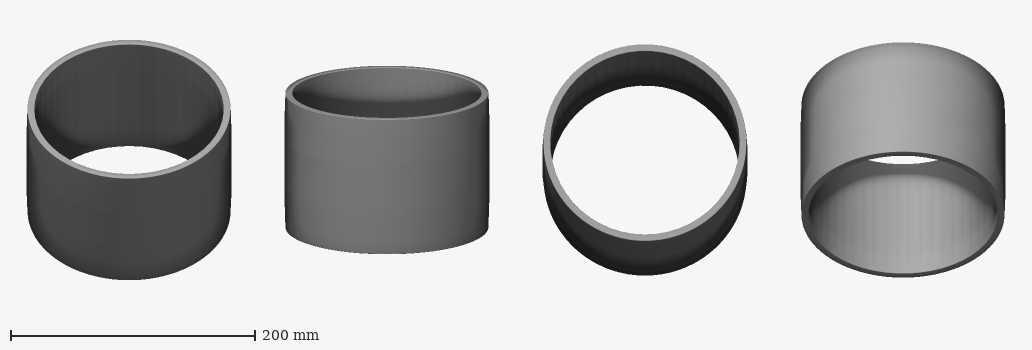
import cadquery as cq

outer_diameter = 168.2
inner_diameter = 154.7
height = 114.3
band_height = 37.0
end_diameter = 166.1
edge_round = 0.5

outer_radius = outer_diameter / 2
inner_radius = inner_diameter / 2
end_radius = end_diameter / 2
half_height = height / 2
half_band = band_height / 2

crown_length = half_height - half_band
crown_drop = outer_radius - end_radius
crown_radius = (crown_length**2 + crown_drop**2) / (2 * crown_drop)
crown_mid_length = crown_length / 2
crown_mid_drop = crown_radius - (crown_radius**2 - crown_mid_length**2) ** 0.5
crown_mid_radius = outer_radius - crown_mid_drop
crown_mid_z = half_band + crown_mid_length

section = (
    cq.Workplane("XZ")
    .moveTo(inner_radius, -half_height)
    .lineTo(end_radius, -half_height)
    .threePointArc((crown_mid_radius, -crown_mid_z), (outer_radius, -half_band))
    .lineTo(outer_radius, half_band)
    .threePointArc((crown_mid_radius, crown_mid_z), (end_radius, half_height))
    .lineTo(inner_radius, half_height)
    .close()
)
ring = section.revolve(360, (0, 0, 0), (0, 1, 0))

result = ring.faces("<Z or >Z").edges().fillet(edge_round)